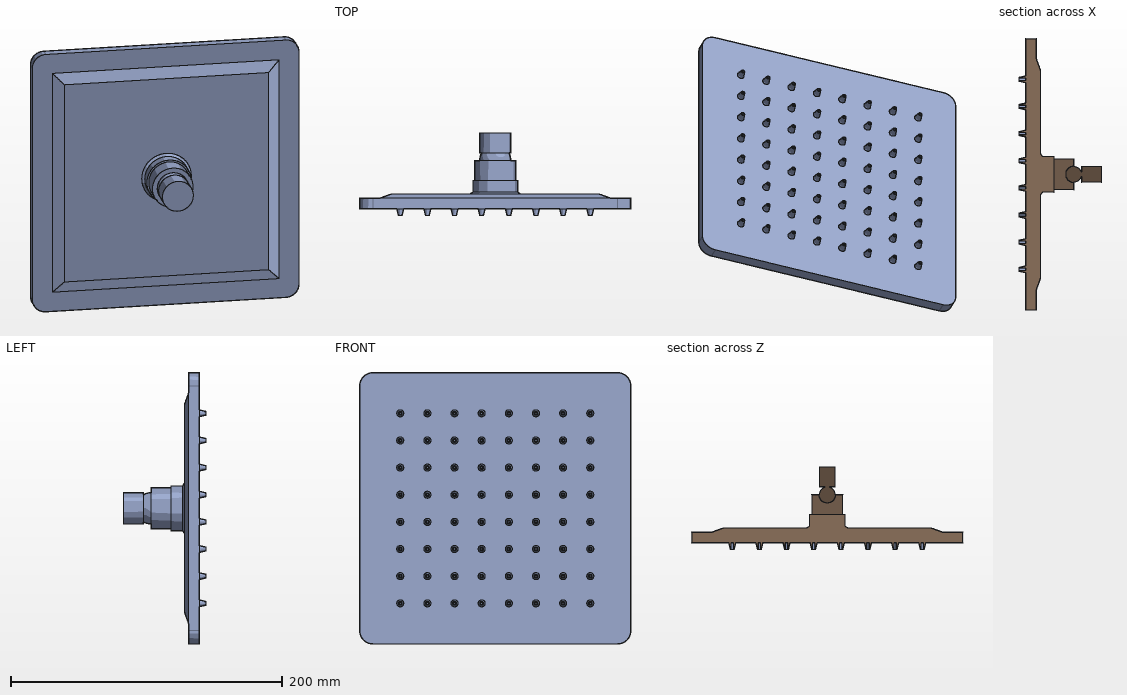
import cadquery as cq

plate_side = 200
plate_thickness = 8
plate_corner_radius = 10

back_base_side = 170
back_top_side = 153.2
back_height = 3.0

nozzle_count = 8
nozzle_pitch = 20
nozzle_length = 5.0
nozzle_base_diameter = 5.2
nozzle_tip_diameter = 2.8
spray_hole_diameter = 1.5

boss_diameter = 33.2
boss_flare_width = 2
boss_flare_height = 1.5
boss_end = 21.0

nut_diameter = 30.5
nut_end = 35.5

ball_diameter = 23.2
connector_diameter = 23.2
connector_start = 41.2
connector_end = 56

plate_back = plate_thickness + back_height
ball_center = nut_end


def facing_back(y):
    """Workplane at height y above the front face, with its normal along +Y."""
    return cq.Workplane("ZX", origin=(0, y, 0))


def cylinder(diameter, start, end):
    """Cylinder on the Y axis between two heights."""
    return facing_back(start).circle(diameter / 2).extrude(end - start)


def ball():
    """Ball of the swivel joint, also the shape of its seat."""
    return cq.Workplane("XY").sphere(ball_diameter / 2).translate((0, ball_center, 0))


def make_nozzles():
    """All spray nozzles, each a cone frustum on the front face, pointing to -Y and bored along its length."""
    nozzle = cq.Solid.makeCone(nozzle_base_diameter / 2, nozzle_tip_diameter / 2, nozzle_length)
    spray_hole = cq.Solid.makeCylinder(spray_hole_diameter / 2, nozzle_length)
    nozzle = nozzle.cut(spray_hole)
    return (
        cq.Workplane("XZ")
        .rarray(nozzle_pitch, nozzle_pitch, nozzle_count, nozzle_count)
        .eachpoint(nozzle.moved, useLocalCoordinates=True)
    )


def make_spray_plate():
    """Plate with its raised back, the flared boss and the spray nozzles, all one solid."""
    slab = facing_back(0).rect(plate_side, plate_side).extrude(plate_thickness)
    slab = slab.edges("|Y").fillet(plate_corner_radius)
    raised_back = (
        facing_back(plate_thickness)
        .rect(back_base_side, back_base_side)
        .workplane(offset=back_height)
        .rect(back_top_side, back_top_side)
        .loft(ruled=True)
    )
    boss_radius = boss_diameter / 2
    boss = (
        cq.Workplane("XY")
        .moveTo(0, plate_back)
        .lineTo(boss_radius + boss_flare_width, plate_back)
        .lineTo(boss_radius, plate_back + boss_flare_height)
        .lineTo(boss_radius, boss_end)
        .lineTo(0, boss_end)
        .close()
        .revolve(360, (0, 0, 0), (0, 1, 0))
    )
    plate = slab.union(raised_back).union(boss)
    return plate.union(make_nozzles())


def make_nut():
    """Nut on the boss, with a spherical seat for the ball."""
    return cylinder(nut_diameter, boss_end, nut_end).cut(ball())


def make_swivel_inlet():
    """Ball and connector, one solid."""
    return ball().union(cylinder(connector_diameter, connector_start, connector_end))


spray_plate = make_spray_plate()
nut = make_nut()
swivel_inlet = make_swivel_inlet()

result = cq.Compound.makeCompound([spray_plate.val(), nut.val(), swivel_inlet.val()])